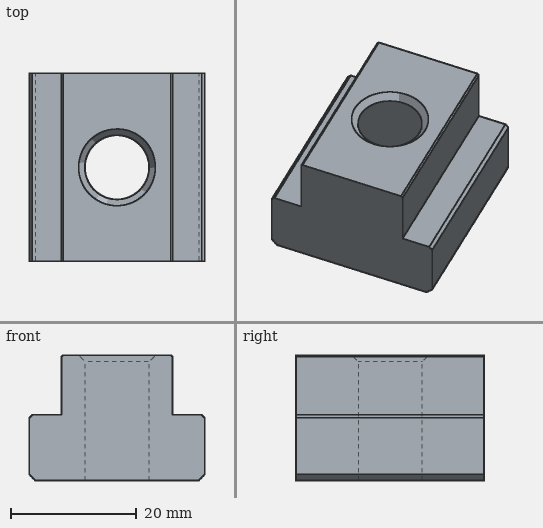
import cadquery as cq

length = 30.0
flange_width = 28.0
total_height = 20.0

flange_height = 10.5
neck_width = 17.7
bottom_chamfer = 1.0
shoulder_chamfer = 0.5
neck_chamfer = 0.27

hole_diameter = 10.2
countersink_diameter = 12.25


def make_body():
    """Extrude the chamfered T section along Y, centred on X and Y."""
    flange_half = flange_width / 2
    neck_half = neck_width / 2
    right_side = [
        (flange_half - bottom_chamfer, 0),
        (flange_half, bottom_chamfer),
        (flange_half, flange_height - shoulder_chamfer),
        (flange_half - shoulder_chamfer, flange_height),
        (neck_half, flange_height),
        (neck_half, total_height - neck_chamfer),
        (neck_half - neck_chamfer, total_height),
    ]
    left_side = [(-x, z) for x, z in reversed(right_side)]
    section = cq.Workplane("XZ").polyline(right_side + left_side).close()
    return section.extrude(length / 2, both=True)


def cut_hole(body):
    """Cut the countersunk hole down from the top face."""
    top = body.faces(">Z").workplane(origin=(0, 0, total_height))
    return top.cskHole(hole_diameter, countersink_diameter, 90)


result = cut_hole(make_body())